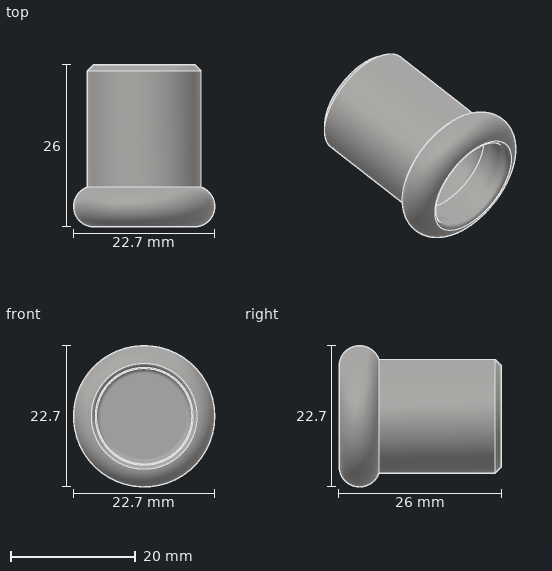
import cadquery as cq
import math

total_length = 26.0

ring_radius = 22.7 / 2
ring_bulge = 3.3
ring_middle = 3.28
shank_radius = 18.3 / 2
end_chamfer = 1.0

lip_radius = 15.7 / 2
bore_radius = 15.3 / 2
lip_round = 0.7
ridge_width = 2.8
shoulder_start = 5.77
shoulder_end = 6.55
floor_round = 0.78
floor_thickness = shank_radius - bore_radius
floor_position = total_length - floor_thickness


def revolve_about_y(profile):
    """Turn a closed half profile into a solid around the Y axis."""
    return profile.close().revolve(360, (0, 0), (0, 1))


def make_body():
    """Chamfered round shank with a bulged ring at its open end."""
    bulge_center = ring_radius - ring_bulge
    ring = revolve_about_y(
        cq.Workplane("XY")
        .moveTo(0, ring_middle - ring_bulge)
        .lineTo(bulge_center, ring_middle - ring_bulge)
        .threePointArc((ring_radius, ring_middle), (bulge_center, ring_middle + ring_bulge))
        .lineTo(0, ring_middle + ring_bulge)
    )
    shank = revolve_about_y(
        cq.Workplane("XY")
        .moveTo(0, ring_middle)
        .lineTo(shank_radius, ring_middle)
        .lineTo(shank_radius, total_length - end_chamfer)
        .lineTo(shank_radius - end_chamfer, total_length)
        .lineTo(0, total_length)
    )
    front_trim = cq.Workplane("XZ").circle(ring_radius).extrude(ring_bulge)
    return ring.union(shank).cut(front_trim)


def make_cavity():
    """Blind bore with a rounded lip, an inward seal ridge and a rounded shoulder."""
    middle_of_round = 1 - 0.5**0.5
    lip_middle = lip_round * middle_of_round
    floor_middle = floor_round * middle_of_round

    shoulder_length = shoulder_end - shoulder_start
    shoulder_step = lip_radius - bore_radius
    shoulder_round = (shoulder_length**2 + shoulder_step**2) / (2 * shoulder_step)
    half_angle = math.asin(shoulder_length / shoulder_round) / 2
    shoulder_middle = (
        bore_radius + shoulder_round * (1 - math.cos(half_angle)),
        shoulder_end - shoulder_round * math.sin(half_angle),
    )

    return revolve_about_y(
        cq.Workplane("XY")
        .lineTo(lip_radius + lip_round, 0)
        .threePointArc((lip_radius + lip_middle, lip_middle), (lip_radius, lip_round))
        .lineTo(lip_radius, ring_middle - ridge_width / 2)
        .threePointArc(
            (bore_radius, ring_middle),
            (lip_radius, ring_middle + ridge_width / 2),
        )
        .lineTo(lip_radius, shoulder_start)
        .threePointArc(shoulder_middle, (bore_radius, shoulder_end))
        .lineTo(bore_radius, floor_position - floor_round)
        .threePointArc(
            (bore_radius - floor_middle, floor_position - floor_middle),
            (bore_radius - floor_round, floor_position),
        )
        .lineTo(0, floor_position)
    )


result = make_body().cut(make_cavity())